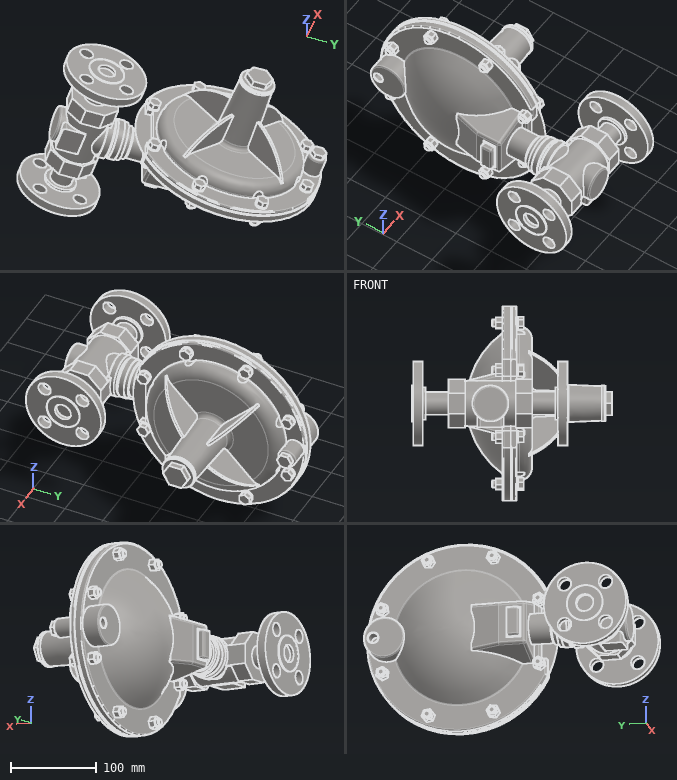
import cadquery as cq
import math


flange_radius = 49.5
flange_face_x = 92.0
raised_face_height = 1.5
raised_face_radius = 21.5
flange_thickness = 12.8
flange_length = 16.0
flange_hub_radius = 19.2
flange_bore_radius = 10.5
flange_recess_depth = 4.7
flange_hole_radius = 8.0
flange_hole_circle = 35.0
flange_hole_count = 4

pipe_radius = 13.5
valve_radius = 26.5
end_nut_flats = 57.2
end_nut_inner_x = 29.5
end_nut_length = 20.0
front_boss_radius = 21.2
front_boss_reach = 33.5
front_boss_fillet = 1.7
rear_rail_half_height = 12.0
foot_half_width = 15.5
foot_reach = 28.0
foot_fillet = 3.5

neck_radius = 18.0
collar_root_radius = 23.2
collar_radius = 25.5
collar_groove_radius = 22.2
union_radius = 24.2
union_cap_radius = 23.2
neck_sleeve_radius = 20.2
collar_start_y = 25.2
collar_end_y = 33.3
groove_start_y = 35.3
union_start_y = 38.0
union_cap_y = 45.7
sleeve_start_y = 50.8
sleeve_end_y = 56.5
neck_start_y = 58.5

case_y = 172.5
case_radius = 114.5
case_left_x = 13.8
joint_x = 24.0
case_right_x = 31.0
case_edge_fillet = 2.0
case_back_fillet = 1.5
diaphragm_thickness = 0.5
case_flat_distance = 102.0
case_notch_distance = 94.5
case_notch_half_width = 32.0

dome_apex_x = -28.3
dome_base_radius = 82.5
dome_root_fillet = 1.5

bowl_radius = 90.5
bowl_corner = 15.5
bowl_face_x = 49.0
barrel_root_radius = 24.0
barrel_root_fillet = 5.5
barrel_tip_radius = 20.5
barrel_lip_x = 131.0
barrel_lip_radius = 21.2
barrel_end_x = 135.2
barrel_lip_chamfer = 1.5
cap_corner_radius = 16.0
cap_end_x = 143.0
rib_thickness = 3.5
rib_count = 4
rib_start = (45.0, 85.8)
rib_middle = (76.0, 56.0)
rib_end = (89.0, 25.2)
rib_root_radius = 13.5

bolt_count = 8
bolt_circle = 102.3
stud_radius = 4.5
stud_chamfer = 1.0
stud_end_x = 1.7
nut_corner_radius = 7.5
nut_start_x = 6.0
washer_radius = 7.0
head_start_x = 32.5
head_end_x = 39.5
head_turn = -22.5
spotface_radius = 13.5

vent_radius = 24.2
vent_offset = 88.8
vent_end_x = -8.0
vent_edge_fillet = 1.5
vent_port_offset = 101.5
vent_hole_radius = 6.0
vent_hole_depth = 20.2
vent_hole_chamfer = 0.7
vent_port_radius = 11.5
vent_port_end_x = 54.5
vent_port_fillet = 2.0
vent_plug_corner_radius = 9.5
vent_plug_end_x = 60.5

box_bottom_y = -87.8
box_kink_y = -54.8
box_top_y = -20.5
box_face_x = -33.0
box_top_x = -24.2
box_base_half_width = 37.5
box_face_half_width = 25.2
box_fillet = 3.5
pad_face_x = -41.5
pad_bottom_y = -81.0
pad_top_y = -66.0
pad_half_width = 17.0
pad_fillet = 2.0
pad_foot = 1.0


def rod_x(radius, start_x, end_x, y=0.0, z=0.0):
    """Cylinder along X."""
    return cq.Workplane("YZ", origin=(start_x, y, z)).circle(radius).extrude(end_x - start_x)


def prism_x(sides, corner_radius, start_x, end_x, y=0.0, turn=0.0):
    """Regular prism along X, turned about its own axis."""
    prism = cq.Workplane("YZ", origin=(start_x, y, 0)).polygon(sides, 2 * corner_radius)
    return prism.extrude(end_x - start_x).rotate((0, y, 0), (1, y, 0), turn)


def box_between(x0, x1, y0, y1, z0, z1):
    """Box given by its two limits on each axis."""
    return cq.Workplane("XY").box(x1 - x0, y1 - y0, z1 - z0, centered=False).translate((x0, y0, z0))


def around_x(outline):
    """Solid of revolution about X from an outline of (x, radius)."""
    return outline.close().revolve(360, (0, 0, 0), (1, 0, 0))


def make_pipe_flange(side):
    """Socket-weld flange at the +X (side = 1) or -X (side = -1) end of the line."""
    hub_x = flange_face_x - flange_length
    back_x = flange_face_x - flange_thickness
    front_x = flange_face_x - raised_face_height
    flange = rod_x(flange_radius, back_x, front_x)
    flange = flange.union(rod_x(flange_hub_radius, hub_x, back_x))
    flange = flange.union(rod_x(raised_face_radius, front_x, flange_face_x))
    flange = flange.cut(rod_x(flange_bore_radius, hub_x, flange_face_x))
    flange = flange.cut(rod_x(pipe_radius, hub_x, flange_face_x - flange_recess_depth))
    for i in range(flange_hole_count):
        angle = math.radians(45 + i * 360 / flange_hole_count)
        y = flange_hole_circle * math.cos(angle)
        z = flange_hole_circle * math.sin(angle)
        flange = flange.cut(rod_x(flange_hole_radius, back_x, front_x, y, z))
    if side < 0:
        flange = flange.mirror("YZ")
    return flange


def make_valve():
    """Line pipe, valve barrel, octagonal end nuts, front boss, rear rail and foot."""
    pipe_end = flange_face_x - flange_recess_depth
    valve = rod_x(pipe_radius, -pipe_end, pipe_end)
    valve = valve.union(rod_x(valve_radius, -end_nut_inner_x, end_nut_inner_x))
    nut_corner = end_nut_flats / 2 / math.cos(math.pi / 8)
    for start in (-end_nut_inner_x - end_nut_length, end_nut_inner_x):
        valve = valve.union(prism_x(8, nut_corner, start, start + end_nut_length, turn=22.5))
    boss = cq.Workplane("XZ").circle(front_boss_radius).extrude(front_boss_reach)
    valve = valve.union(boss.faces("<Y").edges().fillet(front_boss_fillet))
    rail = box_between(
        -end_nut_inner_x, end_nut_inner_x, 0, end_nut_flats / 2, -rear_rail_half_height, rear_rail_half_height
    )
    foot = box_between(-foot_half_width, foot_half_width, -foot_reach, 0, -foot_reach, 0)
    foot = foot.edges("|Z and <Y").fillet(foot_fillet)
    return valve.union(rail).union(foot)


def make_neck():
    """Stepped neck along Y from the valve axis into the throat box."""
    outline = [
        (0, 0),
        (collar_root_radius, 0),
        (collar_root_radius, collar_start_y),
        (collar_radius, collar_start_y),
        (collar_radius, collar_end_y),
        (collar_groove_radius, groove_start_y),
        (collar_groove_radius, union_start_y),
        (union_radius, union_start_y),
        (union_radius, union_cap_y),
        (union_cap_radius, union_cap_y),
        (union_cap_radius, sleeve_start_y),
        (neck_sleeve_radius, sleeve_start_y),
        (neck_sleeve_radius, sleeve_end_y),
        (neck_radius, neck_start_y),
        (neck_radius, case_y + box_bottom_y + box_fillet),
        (0, case_y + box_bottom_y + box_fillet),
    ]
    return cq.Workplane("XY").polyline(outline).close().revolve(360, (0, 0, 0), (0, 1, 0))


def trim_case_rim(rim):
    """Cut the flat and the notch that clear the neck."""
    flat = box_between(0, bowl_face_x, -case_radius, -case_flat_distance, -case_radius, case_radius)
    notch = box_between(
        0, bowl_face_x, -case_radius, -case_notch_distance, -case_notch_half_width, case_notch_half_width
    )
    return rim.cut(flat).cut(notch)


def make_case():
    """Two bolted rims with the diaphragm's full disc between them."""
    left = trim_case_rim(rod_x(case_radius, case_left_x, joint_x))
    left = left.faces("<X").edges().fillet(case_edge_fillet)
    right = rod_x(case_radius, joint_x, case_right_x)
    right = right.faces("<X").edges().fillet(case_edge_fillet)
    right = trim_case_rim(right.faces(">X").edges().fillet(case_back_fillet))
    diaphragm = rod_x(case_radius, joint_x, joint_x + diaphragm_thickness)
    return left.union(right).union(diaphragm)


def make_dome():
    """Spherical cap on the left rim."""
    height = case_left_x - dome_apex_x
    sphere_radius = (dome_base_radius**2 + height**2) / (2 * height)
    half_angle = math.asin(dome_base_radius / sphere_radius) / 2
    middle = (
        dome_apex_x + sphere_radius * (1 - math.cos(half_angle)),
        sphere_radius * math.sin(half_angle),
    )
    outline = cq.Workplane("XY").moveTo(dome_apex_x, 0)
    outline = outline.threePointArc(middle, (case_left_x, dome_base_radius)).lineTo(case_left_x, 0)
    return around_x(outline)


def make_domed_case():
    """Case and dome with a small fillet where they meet."""
    case = make_case().union(make_dome())
    rim_face = case.faces(cq.selectors.NearestToPointSelector((case_left_x, 0, bolt_circle)))
    return rim_face.edges(cq.selectors.RadiusNthSelector(0)).fillet(dome_root_fillet)


def make_bowl():
    """Round-cornered bowl on the right rim, with the tapered spring barrel and its lip."""
    diagonal = math.sqrt(0.5)
    corner_x = bowl_face_x - bowl_corner
    corner_r = bowl_radius - bowl_corner
    outline = cq.Workplane("XY").moveTo(joint_x, 0).lineTo(joint_x, bowl_radius).lineTo(corner_x, bowl_radius)
    outline = outline.threePointArc(
        (corner_x + bowl_corner * diagonal, corner_r + bowl_corner * diagonal), (bowl_face_x, corner_r)
    )
    root_x = bowl_face_x + barrel_root_fillet
    root_r = barrel_root_radius + barrel_root_fillet
    outline = outline.lineTo(bowl_face_x, root_r)
    outline = outline.threePointArc(
        (root_x - barrel_root_fillet * diagonal, root_r - barrel_root_fillet * diagonal),
        (root_x, barrel_root_radius),
    )
    outline = outline.lineTo(barrel_lip_x, barrel_tip_radius).lineTo(barrel_lip_x, barrel_lip_radius)
    outline = outline.lineTo(barrel_end_x - barrel_lip_chamfer, barrel_lip_radius)
    outline = outline.lineTo(barrel_end_x, barrel_lip_radius - barrel_lip_chamfer / 2).lineTo(barrel_end_x, 0)
    cap = prism_x(6, cap_corner_radius, barrel_end_x, cap_end_x)
    bowl = around_x(outline).union(cap)
    for spotface in around_bolt_circle(rod_x(spotface_radius, case_right_x, bowl_face_x, bolt_circle)):
        bowl = bowl.cut(spotface)
    return bowl


def make_ribs():
    """Diagonal ribs between bowl and spring barrel."""
    profile = cq.Workplane("XY").moveTo(*rib_start).threePointArc(rib_middle, rib_end)
    profile = profile.lineTo(rib_end[0], rib_root_radius).lineTo(rib_start[0], rib_root_radius).close()
    rib = profile.extrude(rib_thickness / 2, both=True)
    ribs = cq.Workplane("XY")
    for i in range(rib_count):
        ribs = ribs.union(rib.rotate((0, 0, 0), (1, 0, 0), 45 + i * 360 / rib_count))
    return ribs


def around_bolt_circle(item):
    """Copies of an item spaced evenly around the case axis."""
    return [item.rotate((0, 0, 0), (1, 0, 0), (i + 0.5) * 360 / bolt_count) for i in range(bolt_count)]


def make_bolts():
    """Studs with nuts on the left rim, washers and heads on the right rim."""
    bolt = rod_x(stud_radius, stud_end_x, case_left_x, bolt_circle)
    bolt = bolt.faces("<X").edges().chamfer(stud_chamfer)
    bolt = bolt.union(prism_x(6, nut_corner_radius, nut_start_x, case_left_x, bolt_circle))
    bolt = bolt.union(rod_x(washer_radius, case_right_x, head_start_x, bolt_circle))
    bolt = bolt.union(prism_x(6, nut_corner_radius, head_start_x, head_end_x, bolt_circle, head_turn))
    return around_bolt_circle(bolt)


def make_vent():
    """Vent drum on the left of the rim, with its port and plug on the right."""
    drum = rod_x(vent_radius, vent_end_x, joint_x, vent_offset)
    drum = drum.faces("<X").edges().fillet(vent_edge_fillet)
    port = rod_x(vent_port_radius, joint_x, vent_port_end_x, vent_port_offset)
    port = port.faces(">X").edges().fillet(vent_port_fillet)
    plug = prism_x(6, vent_plug_corner_radius, vent_port_end_x, vent_plug_end_x, vent_port_offset)
    hole = rod_x(vent_hole_radius, vent_end_x, vent_end_x + vent_hole_depth, vent_port_offset)
    vent = drum.union(port).union(plug).cut(hole)
    return vent.faces("<X").edges(cq.selectors.RadiusNthSelector(0)).chamfer(vent_hole_chamfer)


def make_throat_box():
    """Tapered box that carries the neck, with a rectangular pad on its outer face."""
    side_outline = [
        (case_left_x, box_bottom_y),
        (box_face_x, box_bottom_y),
        (box_face_x, box_kink_y),
        (box_top_x, box_top_y),
        (case_left_x, box_top_y),
    ]
    plan_outline = [
        (case_left_x, -box_base_half_width),
        (case_left_x, box_base_half_width),
        (box_face_x, box_face_half_width),
        (box_face_x, -box_face_half_width),
    ]
    side = cq.Workplane("XY").polyline(side_outline).close().extrude(box_base_half_width, both=True)
    plan = cq.Workplane("XZ").polyline(plan_outline).close().extrude(-box_bottom_y)
    throat = side.intersect(plan)
    throat = throat.edges("(<X and <Y) or (not(|Z or >X or >Y))").fillet(box_fillet)
    pad = box_between(pad_face_x, box_face_x, pad_bottom_y, pad_top_y, -pad_half_width, pad_half_width)
    pad = pad.edges("|X or <X").fillet(pad_fillet)
    foot = box_between(
        box_face_x - pad_foot,
        box_face_x,
        pad_bottom_y - pad_foot,
        pad_top_y + pad_foot,
        -pad_half_width - pad_foot,
        pad_half_width + pad_foot,
    )
    return throat.union(foot).union(pad)


def make_regulator():
    """Valve, neck and diaphragm case as one solid."""
    actuator = make_domed_case().union(make_bowl()).union(make_ribs())
    actuator = actuator.union(make_vent()).union(make_throat_box())
    for bolt in make_bolts():
        actuator = actuator.union(bolt)
    return make_valve().union(make_neck()).union(actuator.translate((0, case_y, 0)))


regulator = make_regulator()
pipe_flanges = [make_pipe_flange(side) for side in (-1, 1)]

result = cq.Compound.makeCompound([regulator.val(), *[flange.val() for flange in pipe_flanges]])